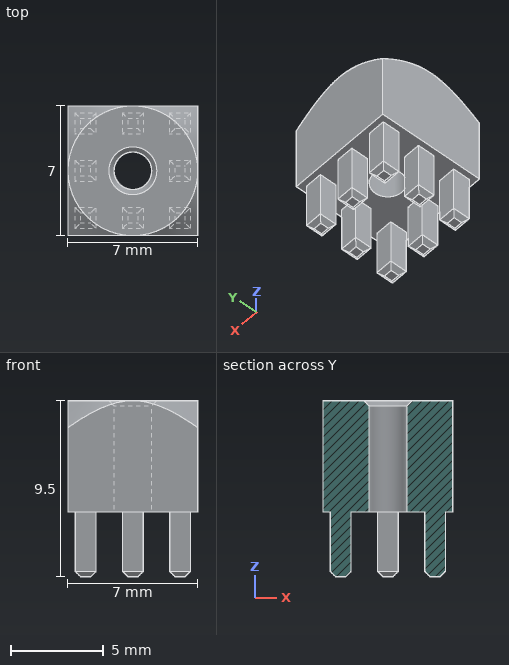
import cadquery as cq

total_height = 9.5
body_side = 7.0
body_height = 6.0
bore_diameter = 2.01
bore_chamfer = 0.285
pin_side = 1.13
pin_pitch = 2.55
pin_tip_chamfer = 0.29

pin_length = total_height - body_height
crown_radius = body_side / 2


def make_body():
    """Square block standing on Z = 0, its top corners cut by a 45 degree cone."""
    block = cq.Workplane("XY").box(body_side, body_side, body_height, centered=(True, True, False))
    base_radius = crown_radius + body_height
    crown = (
        cq.Workplane("XZ")
        .polyline([(0, 0), (base_radius, 0), (crown_radius, body_height), (0, body_height)])
        .close()
        .revolve(360, (0, 0, 0), (0, 1, 0))
    )
    return block.intersect(crown)


def cut_bore(body):
    """Through bore with a chamfered upper rim."""
    bore_radius = bore_diameter / 2
    rim_radius = bore_radius + bore_chamfer
    cutter = (
        cq.Workplane("XZ")
        .moveTo(0, 0)
        .lineTo(bore_radius, 0)
        .lineTo(bore_radius, body_height - bore_chamfer)
        .lineTo(rim_radius, body_height)
        .lineTo(0, body_height)
        .close()
        .revolve(360, (0, 0, 0), (0, 1, 0))
    )
    return body.cut(cutter)


def make_pin(x, y):
    """Square pin hanging below the block, with its tip chamfered on all sides."""
    return (
        cq.Workplane("XY")
        .rect(pin_side, pin_side)
        .extrude(-pin_length)
        .faces("<Z")
        .chamfer(pin_tip_chamfer)
        .translate((x, y, 0))
    )


result = cut_bore(make_body())

for column in (-1, 0, 1):
    for row in (-1, 0, 1):
        if (column, row) != (0, 0):
            result = result.union(make_pin(column * pin_pitch, row * pin_pitch))